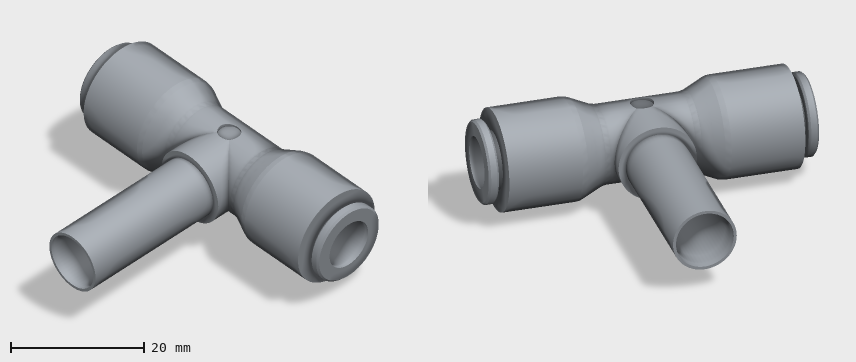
import cadquery as cq

run_length = 51.8
body_diameter = 16.0
overall_depth = 40.65
stem_reach = overall_depth - body_diameter / 2

ring_diameter = 13.0
ring_thickness = 1.6
ring_bevel = 0.3
neck_diameter = 9.15
socket_start = 2.7
neck_overlap = 0.5
taper_start = 14.7
taper_end = 18.8
taper_blend_radius = 2.25
waist_diameter = 12.3
run_bore_diameter = 8.05

collar_reach = 8.2
stem_diameter = 10.0
stem_bore_diameter = 9.05

recess_diameter = 3.65
recess_depth = 0.55


def x_cylinder(diameter, start, end):
    """Cylinder on the run axis between two X positions."""
    return cq.Workplane("YZ").workplane(offset=start).circle(diameter / 2).extrude(end - start)


def branch_cylinder(diameter, reach):
    """Cylinder from the run axis toward -Y."""
    return cq.Workplane("XZ").circle(diameter / 2).extrude(reach)


def make_body():
    """Two sockets tapering with blended corners to the waist."""
    half_length = run_length / 2
    socket_x = half_length - socket_start
    shoulder_x = half_length - taper_start
    waist_x = half_length - taper_end
    body_radius = body_diameter / 2
    waist_radius = waist_diameter / 2
    profile = [
        (-socket_x, 0),
        (-socket_x, body_radius),
        (-shoulder_x, body_radius),
        (-waist_x, waist_radius),
        (waist_x, waist_radius),
        (shoulder_x, body_radius),
        (socket_x, body_radius),
        (socket_x, 0),
    ]
    body = cq.Workplane("XY").polyline(profile).close().revolve(360, (0, 0, 0), (1, 0, 0))
    edge_margin = 0.5
    blend_zone = cq.selectors.BoxSelector(
        (-shoulder_x - edge_margin, -body_diameter, -body_diameter),
        (shoulder_x + edge_margin, body_diameter, body_diameter),
    )
    return body.edges("%CIRCLE").edges(blend_zone).fillet(taper_blend_radius)


def make_release_ring():
    """Neck and beveled ring at the -X end."""
    end_x = -run_length / 2
    ring = x_cylinder(ring_diameter, end_x, end_x + ring_thickness)
    ring = ring.edges().chamfer(ring_bevel)
    neck = x_cylinder(neck_diameter, end_x + ring_thickness / 2, end_x + socket_start + neck_overlap)
    return ring.union(neck)


def make_recess():
    """Cutter for the flat-bottomed recess on top of the waist."""
    floor_z = waist_diameter / 2 - recess_depth
    return cq.Workplane("XY").workplane(offset=floor_z).circle(recess_diameter / 2).extrude(2 * recess_depth)


release_ring = make_release_ring()
result = make_body().union(release_ring).union(release_ring.mirror("YZ"))
result = result.union(branch_cylinder(waist_diameter, collar_reach))
result = result.union(branch_cylinder(stem_diameter, stem_reach))
result = result.cut(x_cylinder(run_bore_diameter, -run_length / 2, run_length / 2))
result = result.cut(branch_cylinder(stem_bore_diameter, stem_reach))
result = result.cut(make_recess())